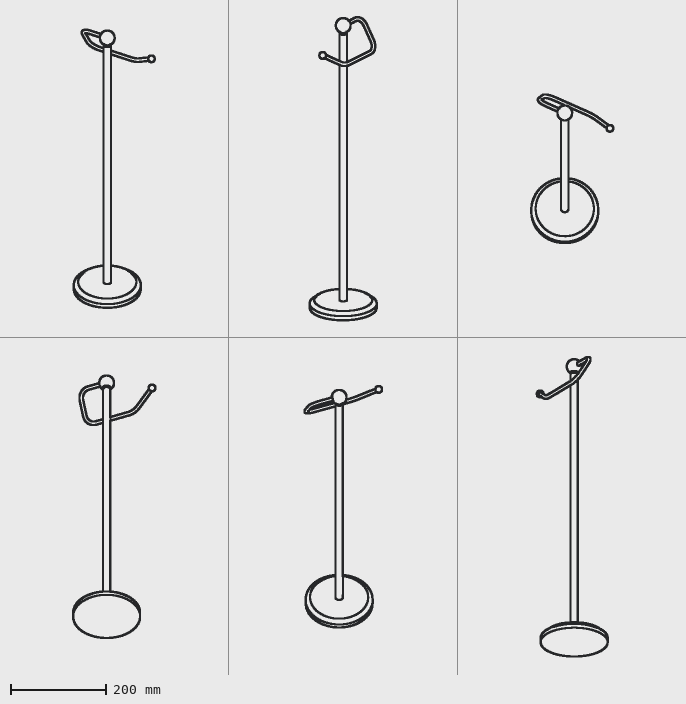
import cadquery as cq
import math

total_height = 657.08

base_radius = 141.33 / 2
base_height = 17.46
rim_height = 9.7
base_top_radius = 61.2
cove_sag = 2.4

post_diameter = 15.88
collar_height = 3.97
ball_diameter = 31.6
ball_flat_diameter = 14.6
ball_radius = ball_diameter / 2
ball_center_z = total_height - ball_radius
ball_flat_z = ball_center_z - math.sqrt(ball_radius**2 - (ball_flat_diameter / 2) ** 2)
post_top_z = ball_flat_z - collar_height

rod_diameter = 7.94
arm_lean = math.radians(31.0)
arm_left_x = -62.7
arm_drop = 76.5
corner_radius = 20.64
tail_bend_start_x = 33.0
tail_bend_radius = 38.1
tail_angle = math.radians(38.5)

tip_diameter = 14.6
tip_outer_x = 173.78 - base_radius
tip_x = tip_outer_x - tip_diameter / 2

ball_socket_depth = ball_radius / 2

arm_plane = cq.Plane(
    origin=(0, 0, ball_center_z),
    xDir=(1, 0, 0),
    normal=(0, -math.cos(arm_lean), -math.sin(arm_lean)),
)


def tail_bend_point(angle):
    """Point on the tail bend after the rod has turned by the angle."""
    along = tail_bend_start_x + tail_bend_radius * math.sin(angle)
    up = -arm_drop + tail_bend_radius * (1 - math.cos(angle))
    return along, up


tail_start_x, tail_start_up = tail_bend_point(tail_angle)
tip_up = tail_start_up + (tip_x - tail_start_x) * math.tan(tail_angle)


def make_base():
    chord_x = base_radius - base_top_radius
    chord_z = base_height - rim_height
    chord = math.hypot(chord_x, chord_z)
    cove_middle = (
        (base_radius + base_top_radius) / 2 - cove_sag * chord_z / chord,
        (base_height + rim_height) / 2 - cove_sag * chord_x / chord,
    )
    return (
        cq.Workplane("XZ")
        .lineTo(base_radius, 0)
        .lineTo(base_radius, rim_height)
        .threePointArc(cove_middle, (base_top_radius, base_height))
        .lineTo(0, base_height)
        .close()
        .revolve(360, (0, 0), (0, 1))
    )


def make_cylinder(diameter, bottom_z, top_z):
    return cq.Workplane("XY", origin=(0, 0, bottom_z)).circle(diameter / 2).extrude(top_z - bottom_z)


def make_rod():
    root_x = -(ball_radius - ball_socket_depth)
    corner_x = arm_left_x + corner_radius
    path = (
        cq.Workplane(arm_plane)
        .moveTo(root_x, 0)
        .lineTo(corner_x, 0)
        .radiusArc((arm_left_x, -corner_radius), -corner_radius)
        .lineTo(arm_left_x, corner_radius - arm_drop)
        .radiusArc((corner_x, -arm_drop), -corner_radius)
        .lineTo(tail_bend_start_x, -arm_drop)
        .threePointArc(tail_bend_point(tail_angle / 2), (tail_start_x, tail_start_up))
        .lineTo(tip_x, tip_up)
    )
    section = cq.Workplane("YZ", origin=(root_x, 0, ball_center_z)).circle(rod_diameter / 2)
    return section.sweep(path)


def make_ball(rod):
    sphere = cq.Workplane("XY", origin=(0, 0, ball_center_z)).sphere(ball_radius)
    above_flat = make_cylinder(2 * ball_diameter, ball_flat_z, total_height + ball_diameter)
    return sphere.intersect(above_flat).cut(rod)


def make_tip_ball(rod):
    center = arm_plane.toWorldCoords((tip_x, tip_up))
    return cq.Workplane("XY", origin=center).sphere(tip_diameter / 2).cut(rod)


base = make_base()
post = make_cylinder(post_diameter, base_height, post_top_z)
collar = make_cylinder(post_diameter, post_top_z, ball_flat_z)
rod = make_rod()
ball = make_ball(rod)
tip_ball = make_tip_ball(rod)

result = cq.Compound.makeCompound(
    [base.val(), post.val(), collar.val(), ball.val(), rod.val(), tip_ball.val()]
)